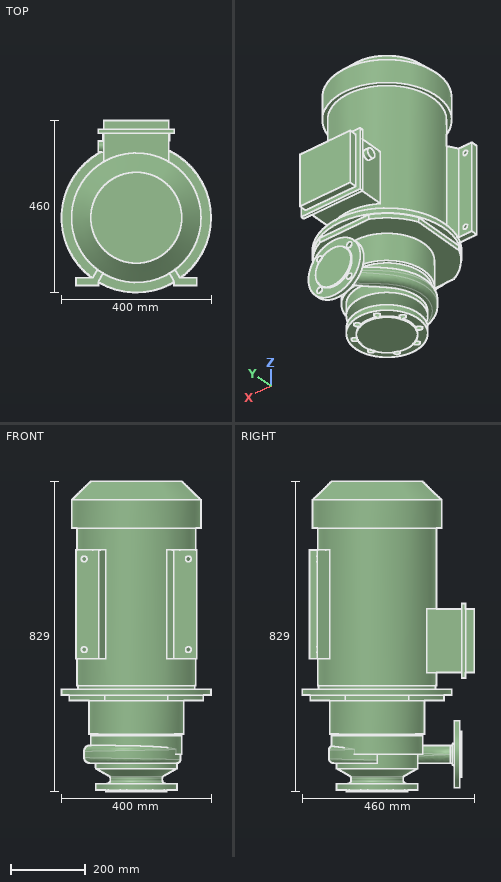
import cadquery as cq
import math


suction_face_height = 4.0
suction_face_radius = 82.0
suction_flange_top = 22.0
suction_flange_radius = 109.0
suction_bolt_circle = 180.0
suction_bolt_count = 8
bolt_hole_diameter = 18.0
neck_radius = 70.0
suction_fillet = 8.0
cone_fillet = 5.0
cone_bottom = 40.0
cone_top = 62.0
casing_base_radius = 109.0

volute_height = 48.0
volute_mid_z = 100.0
volute_start_radius = 117.5
volute_growth = 0.125
volute_sweep = 225
volute_step = 45
volute_start_corner = 9.5
volute_corner_growth = 0.038
casing_radius = 122.0
casing_top = 149.5
gap_radius = 102.5

pipe_radius = volute_height / 2
round_corner = pipe_radius - 0.1
pipe_end_y = 195.0
outlet_run_length = 85.0
discharge_back_y = 206.0
discharge_fillet = 6.0
discharge_flange_thickness = 15.0
discharge_face_height = 5.0
discharge_flange_radius = 90.0
discharge_face_radius = 61.0
discharge_bolt_circle = 145.0
discharge_bolt_count = 4

bracket_bottom = 154.0
bracket_radius = 127.0
plate_bottom = 243.0
plate_radius = 198.0
plate_flat_width = 358.0

joint_z = 258.0
motor_flange_radius = 200.0
motor_flange_top = 274.0
spigot_radius = 156.5
frame_bottom = 283.0
frame_radius = 159.0
cowl_bottom = 704.0
cowl_radius = 173.0
cowl_chamfer_bottom = 779.0
cowl_top = 829.0
cowl_top_radius = 121.5

box_mid_z = 403.0
box_width = 174.0
box_height = 170.0
box_back_y = 260.0
rim_width = 204.0
rim_height = 200.0
rim_front_y = 225.5
rim_back_y = 236.5
gland_radius = 15.0
gland_y = 190.0
gland_z = 446.0

foot_bottom_z = 355.0
foot_top_z = 646.0
foot_outer_x = 161.5
foot_inner_x = 100.5
foot_face_y = -181.0
foot_back_y = -160.0
web_outer_x = 116.0
web_inner_y = -169.0
web_lean = 30.0
web_end_y = -115.0
foot_hole_diameter = 15.0
foot_hole_x = 139.0
foot_hole_inset = 24.5


def disc(radius, bottom, top):
    return cq.Workplane("XY").workplane(offset=bottom).circle(radius).extrude(top - bottom)


def y_disc(radius, front_y, back_y, z):
    plane = cq.Plane(origin=(0, front_y, z), xDir=(1, 0, 0), normal=(0, 1, 0))
    return cq.Workplane(plane).circle(radius).extrude(back_y - front_y)


def suction_inlet():
    """Flange, filleted neck and cone up to the underside of the casing."""
    cone_angle = math.atan2(casing_base_radius - neck_radius, cone_top - cone_bottom)
    fillet_run = cone_fillet * math.tan(cone_angle / 2)
    fillet_end = (
        neck_radius + fillet_run * math.sin(cone_angle),
        cone_bottom + fillet_run * math.cos(cone_angle),
    )
    profile = (
        cq.Workplane("XZ")
        .moveTo(0, 0)
        .lineTo(suction_face_radius, 0)
        .lineTo(suction_face_radius, suction_face_height)
        .lineTo(suction_flange_radius, suction_face_height)
        .lineTo(suction_flange_radius, suction_flange_top)
        .lineTo(neck_radius + suction_fillet, suction_flange_top)
        .radiusArc((neck_radius, suction_flange_top + suction_fillet), suction_fillet)
        .lineTo(neck_radius, cone_bottom - fillet_run)
        .radiusArc(fillet_end, cone_fillet)
        .lineTo(casing_base_radius, cone_top)
        .lineTo(casing_base_radius, volute_mid_z)
        .lineTo(0, volute_mid_z)
        .close()
    )
    inlet = profile.revolve(360, (0, 0, 0), (0, 1, 0))
    holes = (
        cq.Workplane("XY")
        .polarArray(suction_bolt_circle / 2, 180 / suction_bolt_count, 360, suction_bolt_count)
        .circle(bolt_hole_diameter / 2)
        .extrude(suction_flange_top)
    )
    return inlet.cut(holes)


def channel_section(x, y, heading, corner):
    """Rounded square wire across the flow, which heads the given degrees from +X."""
    angle = math.radians(heading)
    plane = cq.Plane(
        origin=(x, y, volute_mid_z),
        xDir=(-math.sin(angle), math.cos(angle), 0),
        normal=(math.cos(angle), math.sin(angle), 0),
    )
    outline = cq.Sketch().rect(volute_height, volute_height).vertices().fillet(corner)
    return outline.moved(plane.location).faces().vals()[0].outerWire()


def volute():
    """Spiral channel clockwise from +X, running out into a round outlet that heads for +Y."""
    sections = []
    for sweep in range(0, volute_sweep + 1, volute_step):
        axis_radius = volute_start_radius + volute_growth * sweep - pipe_radius
        x = axis_radius * math.cos(math.radians(sweep))
        y = -axis_radius * math.sin(math.radians(sweep))
        corner = volute_start_corner + volute_corner_growth * sweep
        sections.append(channel_section(x, y, -90 - sweep, corner))
    exit_heading = -90 - sweep
    x += outlet_run_length * math.cos(math.radians(exit_heading))
    y += outlet_run_length * math.sin(math.radians(exit_heading))
    middle_corner = (corner + round_corner) / 2
    sections.append(channel_section(x, y, exit_heading, middle_corner))
    sections.append(channel_section(0, pipe_end_y, 90, round_corner))
    return cq.Workplane(cq.Solid.makeLoft(sections))


def discharge():
    """Filleted neck and bolted flange at the end of the outlet."""
    neck = (
        cq.Workplane("XY")
        .workplane(offset=volute_mid_z)
        .moveTo(0, pipe_end_y)
        .lineTo(pipe_radius, pipe_end_y)
        .lineTo(pipe_radius, discharge_back_y - discharge_fillet)
        .radiusArc((pipe_radius + discharge_fillet, discharge_back_y), -discharge_fillet)
        .lineTo(0, discharge_back_y)
        .close()
        .revolve(360, (0, 0, 0), (0, 1, 0))
    )
    flange_end_y = discharge_back_y + discharge_flange_thickness
    flange = y_disc(discharge_flange_radius, discharge_back_y, flange_end_y, volute_mid_z)
    face = y_disc(discharge_face_radius, flange_end_y, flange_end_y + discharge_face_height, volute_mid_z)
    hole_plane = cq.Plane(origin=(0, discharge_back_y, volute_mid_z), xDir=(1, 0, 0), normal=(0, 1, 0))
    holes = (
        cq.Workplane(hole_plane)
        .polarArray(discharge_bolt_circle / 2, 180 / discharge_bolt_count, 360, discharge_bolt_count)
        .circle(bolt_hole_diameter / 2)
        .extrude(discharge_flange_thickness)
    )
    return neck.union(flange.cut(holes)).union(face)


def bracket():
    """Bracket barrel and its round plate with four flats under the motor flange."""
    barrel = disc(bracket_radius, bracket_bottom, plate_bottom)
    plate = disc(plate_radius, plate_bottom, joint_z)
    flats = (
        cq.Workplane("XY")
        .workplane(offset=plate_bottom)
        .rect(plate_flat_width, plate_flat_width)
        .extrude(joint_z - plate_bottom)
    )
    return barrel.union(plate.intersect(flats))


def make_pump():
    casing = disc(casing_radius, volute_mid_z, casing_top)
    gap = disc(gap_radius, casing_top, bracket_bottom)
    pump = suction_inlet().union(casing).union(gap).union(bracket())
    return pump.union(volute()).union(discharge())


def motor_frame():
    """Flange, spigot, frame barrel and fan cowl as one turned shape."""
    profile = (
        cq.Workplane("XZ")
        .moveTo(0, joint_z)
        .lineTo(motor_flange_radius, joint_z)
        .lineTo(motor_flange_radius, motor_flange_top)
        .lineTo(spigot_radius, motor_flange_top)
        .lineTo(spigot_radius, frame_bottom)
        .lineTo(frame_radius, frame_bottom)
        .lineTo(frame_radius, cowl_bottom)
        .lineTo(cowl_radius, cowl_bottom)
        .lineTo(cowl_radius, cowl_chamfer_bottom)
        .lineTo(cowl_top_radius, cowl_top)
        .lineTo(0, cowl_top)
        .close()
    )
    return profile.revolve(360, (0, 0, 0), (0, 1, 0))


def terminal_box():
    """Box on the +Y side with a rim round its lid joint and a cable gland on -X."""
    box = cq.Workplane("XY").box(box_width, box_back_y, box_height, centered=(True, False, True))
    rim = (
        cq.Workplane("XY")
        .box(rim_width, rim_back_y - rim_front_y, rim_height, centered=(True, False, True))
        .translate((0, rim_front_y, 0))
    )
    gland = (
        cq.Workplane("YZ")
        .workplane(offset=-rim_width / 2)
        .center(gland_y, gland_z - box_mid_z)
        .circle(gland_radius)
        .extrude((rim_width - box_width) / 2)
    )
    return box.union(rim).union(gland).translate((0, 0, box_mid_z))


def foot():
    """Foot on the +X side: a flat bar with a web leaning in to the motor frame."""
    lean = math.tan(math.radians(web_lean))
    web_inner_end_x = foot_inner_x - (web_end_y - web_inner_y) * lean
    web_outer_end_x = web_outer_x - (web_end_y - foot_back_y) * lean
    outline = [
        (foot_outer_x, foot_back_y),
        (foot_outer_x, foot_face_y),
        (foot_inner_x, foot_face_y),
        (foot_inner_x, web_inner_y),
        (web_inner_end_x, web_end_y),
        (web_outer_end_x, web_end_y),
        (web_outer_x, foot_back_y),
    ]
    bar = (
        cq.Workplane("XY")
        .workplane(offset=foot_bottom_z)
        .polyline(outline)
        .close()
        .extrude(foot_top_z - foot_bottom_z)
    )
    hole_heights = (foot_bottom_z + foot_hole_inset, foot_top_z - foot_hole_inset)
    holes = (
        cq.Workplane("XZ", origin=(0, foot_back_y, 0))
        .pushPoints([(foot_hole_x, z) for z in hole_heights])
        .circle(foot_hole_diameter / 2)
        .extrude(foot_back_y - foot_face_y)
    )
    return bar.cut(holes)


def make_motor():
    right_foot = foot()
    left_foot = right_foot.mirror("YZ")
    return motor_frame().union(terminal_box()).union(right_foot).union(left_foot)


pump = make_pump()
motor = make_motor()

result = cq.Compound.makeCompound([pump.val(), motor.val()])